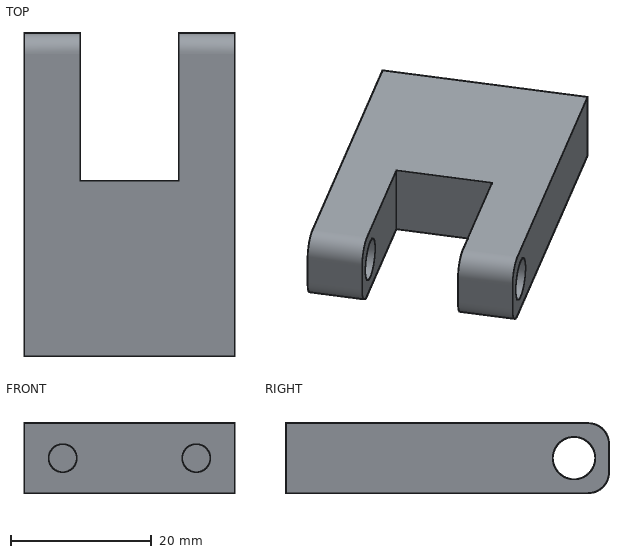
import cadquery as cq

width = 30.0
length = 46.0
thickness = 10.0

slot_width = 14.0
slot_depth = 21.0
arm_end_radius = 3.0

pin_diameter = 6.0
pin_end_distance = 5.0

mount_diameter = 4.0
mount_spacing = 19.0
mount_depth = 15.0

front_y = -length / 2
back_y = length / 2


def make_body():
    """Plate centred on the origin, with rounded upper and lower edges at the +Y end."""
    plate = cq.Workplane("XY").box(width, length, thickness)
    return plate.faces(">Y").edges("|X").fillet(arm_end_radius)


def make_slot():
    """Block that opens the fork through the full thickness."""
    return (
        cq.Workplane("XY")
        .box(slot_width, slot_depth, thickness)
        .translate((0, back_y - slot_depth / 2, 0))
    )


def make_pin_hole():
    """Cylinder along X that crosses both arms."""
    return (
        cq.Workplane("YZ")
        .center(back_y - pin_end_distance, 0)
        .circle(pin_diameter / 2)
        .extrude(width / 2, both=True)
    )


def make_mount_holes():
    """Pair of cylinders running inward (+Y) from the -Y face."""
    return (
        cq.Workplane("XZ", origin=(0, front_y, 0))
        .pushPoints([(-mount_spacing / 2, 0), (mount_spacing / 2, 0)])
        .circle(mount_diameter / 2)
        .extrude(-mount_depth)
    )


result = make_body().cut(make_slot()).cut(make_pin_hole()).cut(make_mount_holes())